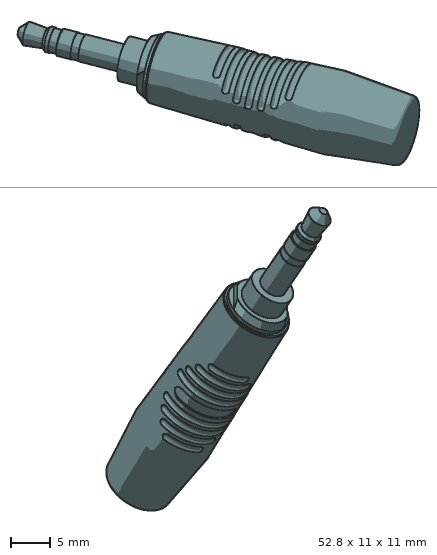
import cadquery as cq
import math

LENGTH = 52.8

TIP_FLAT_RADIUS = 0.6
TIP_RADIUS = 1.6
TIP_CONE_END = 1.05
TIP_NECK_END = 3.6
TIP_NECK_RADIUS = 1.3
RIDGE_START = 4.0
RIDGE_END = 4.55
RIDGE_RADIUS = 1.7
RING_START = 5.65
RING_END = 7.6
RING_GAP_RADIUS = 1.6
SLEEVE_START = 8.65
PIN_RADIUS = 1.8
BAND_RADIUS = 1.75

COLLAR_START = 14.35
COLLAR_RADIUS = 2.95
SHOULDER_START = 17.25
SHOULDER_SMALL_RADIUS = 3.75
SHOULDER_CONE_END = 18.3
SHOULDER_RADIUS = 4.3
FLAT_HALF_WIDTH = 3.55

HANDLE_START = 18.8
HANDLE_FRONT_RADIUS = 4.7
HANDLE_LIP_LENGTH = 0.2
HANDLE_LIP_RADIUS = 4.6
HANDLE_MAX_RADIUS = 5.5
WIDEST_START = 42.5
WIDEST_END = 42.8
HANDLE_REAR_RADIUS = 4.55
REAR_FILLET = 0.75

SCOOP_AXIS_Z = -0.7
SCOOP_START = 26.7
SCOOP_END = 39.2
SCOOP_MIDDLE = (SCOOP_START + SCOOP_END) / 2
SCOOP_FLOOR_Z = 4.75

GROOVE_RADIUS = 0.55
GROOVE_DEPTH = 0.3
TOP_GROOVE_COUNT = 7
TOP_GROOVE_FIRST = 27.75
TOP_GROOVE_LAST = 37.75
TOP_GROOVE_PITCH = (TOP_GROOVE_LAST - TOP_GROOVE_FIRST) / (TOP_GROOVE_COUNT - 1)

BOTTOM_CENTRE = 33.25
BOTTOM_GROOVES_PER_SIDE = 4
BOTTOM_INNER_OFFSET = 2.0
BOTTOM_OUTER_OFFSET = 6.45
BOTTOM_GROOVE_PITCH = (BOTTOM_OUTER_OFFSET - BOTTOM_INNER_OFFSET) / (BOTTOM_GROOVES_PER_SIDE - 1)
BOTTOM_HALF_LENGTH = 7.8
BOTTOM_HALF_WIDTH = 5.0
RECESS_LENGTH = 8.65
RECESS_WIDTH = 1.6
RECESS_DEPTH = 0.25


def handle_radius(x):
    """Radius of the tapered front part of the handle at station x."""
    share = (x - HANDLE_START) / (WIDEST_START - HANDLE_START)
    return HANDLE_FRONT_RADIUS + share * (HANDLE_MAX_RADIUS - HANDLE_FRONT_RADIUS)


def make_turned_body():
    outline = [
        (0, 0),
        (0, TIP_FLAT_RADIUS),
        (TIP_CONE_END, TIP_RADIUS),
        (TIP_NECK_END, TIP_NECK_RADIUS),
        (RIDGE_START, RIDGE_RADIUS),
        (RIDGE_END, RIDGE_RADIUS),
        (RIDGE_END, RING_GAP_RADIUS),
        (RING_START, RING_GAP_RADIUS),
        (RING_START, PIN_RADIUS),
        (RING_END, PIN_RADIUS),
        (RING_END, BAND_RADIUS),
        (SLEEVE_START, BAND_RADIUS),
        (SLEEVE_START, PIN_RADIUS),
        (COLLAR_START, PIN_RADIUS),
        (COLLAR_START, COLLAR_RADIUS),
        (SHOULDER_START, COLLAR_RADIUS),
        (SHOULDER_START, SHOULDER_SMALL_RADIUS),
        (SHOULDER_CONE_END, SHOULDER_RADIUS),
        (HANDLE_START, SHOULDER_RADIUS),
        (HANDLE_START, HANDLE_LIP_RADIUS),
        (HANDLE_START + HANDLE_LIP_LENGTH, handle_radius(HANDLE_START + HANDLE_LIP_LENGTH)),
        (WIDEST_START, HANDLE_MAX_RADIUS),
        (WIDEST_END, HANDLE_MAX_RADIUS),
        (LENGTH, HANDLE_REAR_RADIUS),
        (LENGTH, 0),
    ]
    body = cq.Workplane("XY").polyline(outline).close().revolve(360, (0, 0, 0), (1, 0, 0))
    return body.faces(">X").edges().fillet(REAR_FILLET)


def cut_shoulder_flats(body):
    length = SHOULDER_CONE_END - SHOULDER_START
    width = SHOULDER_RADIUS - FLAT_HALF_WIDTH
    for side in (-1, 1):
        flat = cq.Workplane("XY").box(length, width, 2 * SHOULDER_RADIUS).translate(
            (SHOULDER_START + length / 2, side * (FLAT_HALF_WIDTH + width / 2), 0)
        )
        body = body.cut(flat)
    return body


def scoop_arc():
    """Centre and radius, in the XZ plane, of the arc through the scoop ends and floor."""
    x1, z1 = SCOOP_START, handle_radius(SCOOP_START)
    x2, z2 = SCOOP_MIDDLE, SCOOP_FLOOR_Z
    x3, z3 = SCOOP_END, handle_radius(SCOOP_END)
    s1, s2, s3 = x1**2 + z1**2, x2**2 + z2**2, x3**2 + z3**2
    d = 2 * (x1 * (z2 - z3) + x2 * (z3 - z1) + x3 * (z1 - z2))
    cx = (s1 * (z2 - z3) + s2 * (z3 - z1) + s3 * (z1 - z2)) / d
    cz = (s1 * (x3 - x2) + s2 * (x1 - x3) + s3 * (x2 - x1)) / d
    return cx, cz, math.hypot(x1 - cx, z1 - cz)


def scoop_height(x):
    """Height of the scoop surface on the centre plane at station x."""
    cx, cz, radius = scoop_arc()
    return cz - math.sqrt(radius**2 - (x - cx) ** 2)


def scoop_half_width(x):
    """Y at which the scoop surface meets the handle surface at station x."""
    outer = handle_radius(x)
    inner = scoop_height(x) - SCOOP_AXIS_Z
    edge_z = (outer**2 - inner**2 + SCOOP_AXIS_Z**2) / (2 * SCOOP_AXIS_Z)
    return math.sqrt(outer**2 - edge_z**2)


def cut_scoop(body):
    cx, cz, radius = scoop_arc()
    cutter = (
        cq.Workplane("XZ")
        .center(cx, cz)
        .circle(radius)
        .revolve(360, (0, SCOOP_AXIS_Z - cz, 0), (1, SCOOP_AXIS_Z - cz, 0))
    )
    return body.cut(cutter)


def groove_cutter(x, axis_z, surface_radius, half_width, side):
    """Ball-ended round groove at station x, running around an axis parallel to X.

    The groove is sunk in a surface of the given radius and its tips reach half_width
    either way in Y. side is 1 for the top of the handle and -1 for the bottom.
    """
    path_radius = surface_radius + GROOVE_RADIUS - GROOVE_DEPTH
    tip_reach = math.sqrt(GROOVE_RADIUS**2 - (GROOVE_RADIUS - GROOVE_DEPTH) ** 2)
    end_angle = math.asin(half_width / surface_radius) - tip_reach / surface_radius
    end_y = path_radius * math.sin(end_angle)
    end_z = axis_z + side * path_radius * math.cos(end_angle)
    path = (
        cq.Workplane("YZ", origin=(x, 0, 0))
        .moveTo(-end_y, end_z)
        .threePointArc((0, axis_z + side * path_radius), (end_y, end_z))
    )
    start_direction = (0, math.cos(end_angle), side * math.sin(end_angle))
    start_plane = cq.Plane(origin=(x, -end_y, end_z), xDir=(1, 0, 0), normal=start_direction)
    tube = cq.Workplane(start_plane).circle(GROOVE_RADIUS).sweep(path)
    ball = cq.Workplane(start_plane).sphere(GROOVE_RADIUS)
    return tube.union(ball).union(ball.mirror("XZ"))


def cut_top_grooves(body):
    for i in range(TOP_GROOVE_COUNT):
        x = TOP_GROOVE_FIRST + i * TOP_GROOVE_PITCH
        surface_radius = scoop_height(x) - SCOOP_AXIS_Z
        body = body.cut(groove_cutter(x, SCOOP_AXIS_Z, surface_radius, scoop_half_width(x), 1))
    return body


def cut_bottom_grooves(body):
    for i in range(BOTTOM_GROOVES_PER_SIDE):
        distance = BOTTOM_INNER_OFFSET + i * BOTTOM_GROOVE_PITCH
        half_width = BOTTOM_HALF_WIDTH * math.sqrt(1 - (distance / BOTTOM_HALF_LENGTH) ** 2)
        for x in (BOTTOM_CENTRE - distance, BOTTOM_CENTRE + distance):
            body = body.cut(groove_cutter(x, 0, handle_radius(x), half_width, -1))
    return body


def cut_bottom_recess(body):
    """Oblong recess lying across the bottom, its floor parallel to the handle surface."""
    core_outline = [
        (HANDLE_START, 0),
        (HANDLE_START, handle_radius(HANDLE_START) - RECESS_DEPTH),
        (WIDEST_START, handle_radius(WIDEST_START) - RECESS_DEPTH),
        (WIDEST_START, 0),
    ]
    core = cq.Workplane("XY").polyline(core_outline).close().revolve(360, (0, 0, 0), (1, 0, 0))
    oblong = (
        cq.Workplane("XY", origin=(BOTTOM_CENTRE, 0, 0))
        .slot2D(RECESS_LENGTH, RECESS_WIDTH, 90)
        .extrude(-2 * HANDLE_MAX_RADIUS)
    )
    return body.cut(oblong.cut(core))


result = make_turned_body()
result = cut_shoulder_flats(result)
result = cut_scoop(result)
result = cut_top_grooves(result)
result = cut_bottom_grooves(result)
result = cut_bottom_recess(result)